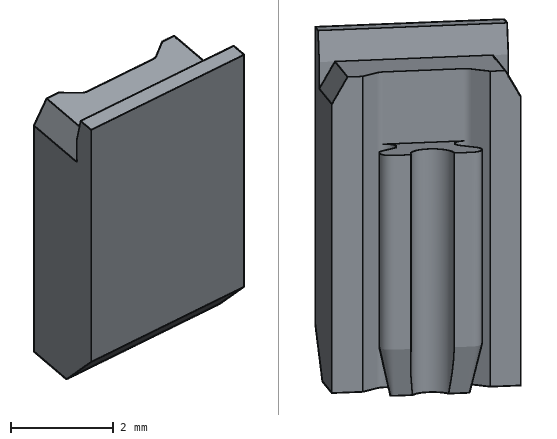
import cadquery as cq
import math

depth = 2.55
width = 3.77
height = 6.95

body_front = 0.695
step_height = 6.345
lip_foot = 2.08
lip_crest = 2.21
corner_width = 0.31
corner_drop = 0.535
heel_length = 0.8
taper_height = 0.99

recess_half_width = 1.27
recess_floor = 1.01
groove_radius = 0.215
groove_center = (recess_floor - groove_radius, 0.8)

spline_height = 4.89
lobe_radius = 0.235
lobe_center_y = 0.785
bore_radius = 0.43
bore_center_x = 0.01

end_setback = 0.24
end_lobe_radius = 0.06
end_lobe_center_y = 0.73


def cross_tangent(start, start_radius, end, end_radius, side):
    """Contact points of a line crossing between two circles; side 1 or -1 selects the line."""
    dx = end[0] - start[0]
    dy = end[1] - start[1]
    lean = math.asin((start_radius + end_radius) / math.hypot(dx, dy))
    angle = math.atan2(dy, dx) - side * lean
    normal_x = -side * math.sin(angle)
    normal_y = side * math.cos(angle)
    start_contact = (start[0] + start_radius * normal_x, start[1] + start_radius * normal_y)
    end_contact = (end[0] - end_radius * normal_x, end[1] - end_radius * normal_y)
    return start_contact, end_contact


def mirrored(point):
    return (point[0], -point[1])


def make_body():
    profile = [
        (body_front, 0),
        (depth - heel_length, 0),
        (depth, taper_height),
        (depth, height),
        (lip_crest, height),
        (lip_foot, step_height),
        (body_front, step_height),
    ]
    body = cq.Workplane("XZ").polyline(profile).close().extrude(width / 2, both=True)
    half_width = width / 2
    for side in (1, -1):
        corner = [
            (side * half_width, step_height),
            (side * (half_width - corner_width), step_height),
            (side * half_width, step_height - corner_drop),
        ]
        wedge = cq.Workplane("YZ", origin=(body_front, 0, 0)).polyline(corner).close()
        body = body.cut(wedge.extrude(lip_foot - body_front))
    return body


def make_recess():
    mouth = (body_front, recess_half_width)
    _, wall_end = cross_tangent(mouth, 0, groove_center, groove_radius, -1)
    floor_end = (recess_floor, groove_center[1])
    half_outline = [mouth, wall_end, groove_center, floor_end]
    outline = half_outline + [mirrored(point) for point in reversed(half_outline)]
    return cq.Workplane("XY").polyline(outline).close().extrude(height)


def spline_section(workplane, tip_x, radius, center_y):
    """Spline outline, filled in as far as the groove centers."""
    center = (tip_x + radius, center_y)
    flank_start, flank_end = cross_tangent(center, radius, groove_center, groove_radius, 1)
    tip = (tip_x, center_y)
    arc_angle = (math.pi + math.atan2(flank_start[1] - center_y, flank_start[0] - center[0])) / 2
    arc_middle = (
        center[0] + radius * math.cos(arc_angle),
        center[1] + radius * math.sin(arc_angle),
    )
    root = (recess_floor, groove_center[1])
    return (
        workplane.moveTo(*mirrored(tip))
        .lineTo(*tip)
        .threePointArc(arc_middle, flank_start)
        .lineTo(*flank_end)
        .lineTo(*groove_center)
        .lineTo(*root)
        .lineTo(*mirrored(root))
        .lineTo(*mirrored(groove_center))
        .lineTo(*mirrored(flank_end))
        .lineTo(*mirrored(flank_start))
        .threePointArc(mirrored(arc_middle), mirrored(tip))
        .close()
    )


def make_spline():
    straight_base = cq.Workplane("XY").workplane(offset=taper_height)
    straight = spline_section(straight_base, 0, lobe_radius, lobe_center_y)
    straight = straight.extrude(spline_height - taper_height)

    bottom = spline_section(cq.Workplane("XY"), end_setback, end_lobe_radius, end_lobe_center_y)
    sections = spline_section(bottom.workplane(offset=taper_height), 0, lobe_radius, lobe_center_y)
    return straight.union(sections.loft(ruled=True))


def make_rod(center, radius):
    return cq.Workplane("XY").center(*center).circle(radius).extrude(height)


result = make_body().cut(make_recess()).union(make_spline())
for center in (groove_center, mirrored(groove_center)):
    result = result.cut(make_rod(center, groove_radius))
result = result.cut(make_rod((bore_center_x, 0), bore_radius))